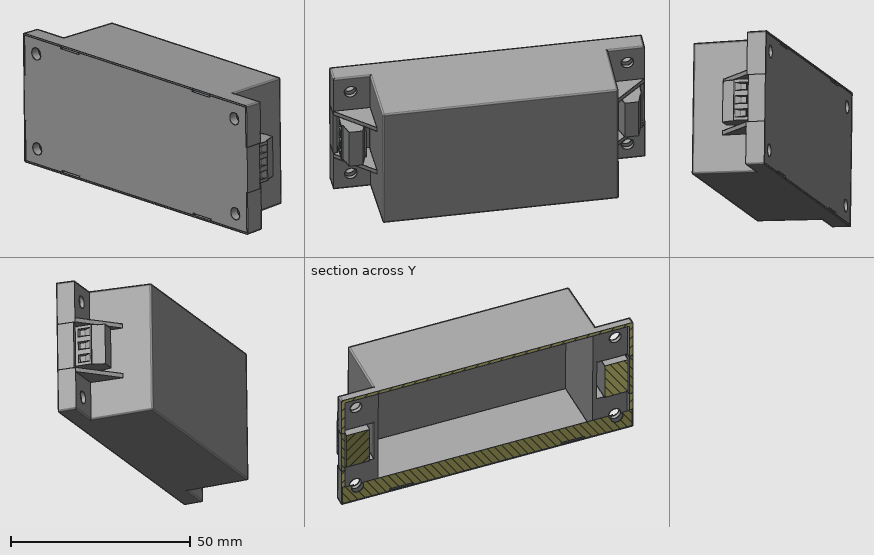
import cadquery as cq
import math

LEAN_ANGLE = 0.8
DRAFT_ANGLE = 1.0
DRAFT = math.tan(math.radians(DRAFT_ANGLE))

LENGTH = 88.4
HEIGHT = 38.1
DEPTH = 24.05
FLANGE_DEPTH = 5.4
BOX_HALF_LENGTH = 33.8
WALL = 1.2
EDGE_RADIUS = 0.4
LIP = 0.49

PLATE_THICKNESS = 2.65
TAB_WIDTH = 13.4
TAB_HEIGHT = 4.95
TAB_THICKNESS = 1.2
NOTCH_SPACING = 51.9
NOTCH_WIDTH = 7.0
NOTCH_DEPTH = 0.5

HOLE_DIAMETER = 3.5
HOLE_SPACING_X = 78.4
HOLE_SPACING_Z = 28.1

GUSSET_THICKNESS = 1.2
GUSSET_TOP = 15.2

TERMINAL_WIDTH = 11.7
TERMINAL_TOP = 13.2
TERMINAL_SHOULDER = 9.55
TERMINAL_FACE = 42.6
TERMINAL_LENGTH = 7.1
SHOULDER_STEP = 0.4
TOP_SETBACK = 1.6
POLE_COUNT = 3
POLE_PITCH = 3.8
WINDOW_WIDTH = 2.3
WINDOW_BOTTOM = 5.7
WINDOW_TOP = 9.1
WINDOW_DEPTH = 0.4
FLOOR_WIDTH = 1.8
FLOOR_BOTTOM = 6.0
FLOOR_TOP = 7.6

BOX_FOOT = BOX_HALF_LENGTH - FLANGE_DEPTH * DRAFT
FLANGE_TIP = LENGTH / 2 - FLANGE_DEPTH * DRAFT

ENDS = (-1, 1)
SIDES = (-1, 1)


def block(x_range, y_range, z_range):
    """Box between two limits on each axis."""
    size = [high - low for low, high in (x_range, y_range, z_range)]
    return cq.Workplane("XY").box(*size, centered=False).translate((x_range[0], y_range[0], z_range[0]))


def end_block(end, inner, outer, y_range, width):
    """Box at one end, between two distances from the middle and centred on Z = 0."""
    x_range = sorted((end * inner, end * outer))
    return block(x_range, y_range, (-width / 2, width / 2))


def extrude_along_z(points, width):
    """Prism with an outline in X and Y, centred on Z = 0."""
    return cq.Workplane("XY").polyline(points).close().extrude(width / 2, both=True)


def drafted_shape(inset):
    """T-shaped drafted block, with every side but the mouth moved inwards by the inset."""
    depth = DEPTH - inset
    flange_depth = FLANGE_DEPTH - inset
    flange = LENGTH / 2 - inset
    box = BOX_HALF_LENGTH - inset
    right_side = [
        (flange, 0),
        (flange - flange_depth * DRAFT, flange_depth),
        (box - flange_depth * DRAFT, flange_depth),
        (box - depth * DRAFT, depth),
    ]
    left_side = [(-x, y) for x, y in reversed(right_side)]
    tee = extrude_along_z(right_side + left_side, HEIGHT)

    half_height = HEIGHT / 2 - inset
    back_half_height = half_height - depth * DRAFT
    side_outline = [(0, -half_height), (depth, -back_half_height), (depth, back_half_height), (0, half_height)]
    wedge = cq.Workplane("YZ").polyline(side_outline).close().extrude(LENGTH / 2, both=True)
    return tee.intersect(wedge)


def hole_pins():
    """Cylinders that cut the four mounting holes."""
    return (
        cq.Workplane("XZ")
        .rarray(HOLE_SPACING_X, HOLE_SPACING_Z, 2, 2)
        .circle(HOLE_DIAMETER / 2)
        .extrude(-FLANGE_DEPTH)
    )


def gusset(end, side):
    """Triangular rib between the back of a flange and the end wall of the box."""
    root = BOX_FOOT - WALL / 2
    wall_at_top = BOX_HALF_LENGTH - GUSSET_TOP * DRAFT
    outline = [
        (end * root, FLANGE_DEPTH - WALL / 2),
        (end * FLANGE_TIP, FLANGE_DEPTH - WALL / 2),
        (end * FLANGE_TIP, FLANGE_DEPTH),
        (end * wall_at_top, GUSSET_TOP),
        (end * root, GUSSET_TOP),
    ]
    centre_z = side * (TAB_WIDTH + GUSSET_THICKNESS) / 2
    return extrude_along_z(outline, GUSSET_THICKNESS).translate((0, 0, centre_z))


def plate_blank():
    """Flat rectangle that fills the mouth inside the lip of the housing."""
    half_length = LENGTH / 2 - LIP
    half_height = HEIGHT / 2 - LIP
    return block((-half_length, half_length), (0, PLATE_THICKNESS), (-half_height, half_height))


def make_housing():
    """Hollow shell with gussets, a terminal opening at each end and four mounting holes."""
    outside = drafted_shape(0)
    outer_edges = outside.faces(">Y or >Z or <Z").edges("not <Y")
    housing = outer_edges.fillet(EDGE_RADIUS).cut(drafted_shape(WALL))
    housing = housing.cut(plate_blank())
    for end in ENDS:
        for side in SIDES:
            housing = housing.union(gusset(end, side))
        opening = end_block(end, BOX_FOOT, LENGTH / 2, (0, FLANGE_DEPTH), TAB_WIDTH)
        housing = housing.cut(opening)
    return housing.cut(hole_pins())


def make_plate():
    """Cover plate with a raised tab at each end and notches in its long edges."""
    plate = plate_blank()
    for end in ENDS:
        tab = end_block(end, LENGTH / 2 - TAB_THICKNESS, LENGTH / 2, (0, TAB_HEIGHT), TAB_WIDTH)
        plate = plate.union(tab)
    plate = plate.intersect(drafted_shape(0)).cut(hole_pins())

    notches = (
        cq.Workplane("XZ")
        .rarray(NOTCH_SPACING, HEIGHT - 2 * LIP, 2, 2)
        .rect(NOTCH_WIDTH, 2 * NOTCH_DEPTH)
        .extrude(-PLATE_THICKNESS)
    )
    return plate.cut(notches)


def wire_window(end):
    """Funnel that narrows from the terminal face to a smaller floor near its lower edge."""
    floor_shift = (FLOOR_BOTTOM + FLOOR_TOP - WINDOW_BOTTOM - WINDOW_TOP) / 2
    return (
        cq.Workplane("YZ", origin=(end * TERMINAL_FACE, (WINDOW_BOTTOM + WINDOW_TOP) / 2, 0))
        .rect(WINDOW_TOP - WINDOW_BOTTOM, WINDOW_WIDTH)
        .workplane(offset=-end * WINDOW_DEPTH)
        .center(floor_shift, 0)
        .rect(FLOOR_TOP - FLOOR_BOTTOM, FLOOR_WIDTH)
        .loft(ruled=True)
    )


def make_terminal(end):
    """Terminal block standing on the plate, with one wire window per pole."""
    front = TERMINAL_FACE
    back = TERMINAL_FACE - TERMINAL_LENGTH
    outline = [
        (front, PLATE_THICKNESS),
        (front, TERMINAL_SHOULDER),
        (front - SHOULDER_STEP, TERMINAL_SHOULDER),
        (front - TOP_SETBACK, TERMINAL_TOP),
        (back + TOP_SETBACK, TERMINAL_TOP),
        (back + SHOULDER_STEP, TERMINAL_SHOULDER),
        (back, TERMINAL_SHOULDER),
        (back, PLATE_THICKNESS),
    ]
    terminal = extrude_along_z([(end * x, y) for x, y in outline], TERMINAL_WIDTH)

    window = wire_window(end)
    for pole in range(POLE_COUNT):
        centre_z = (pole - (POLE_COUNT - 1) / 2) * POLE_PITCH
        terminal = terminal.cut(window.translate((0, 0, centre_z)))
    return terminal


def lean(body):
    """Turn a body about the X axis by the lean of the whole assembly."""
    return body.rotate((0, 0, 0), (1, 0, 0), LEAN_ANGLE)


housing = lean(make_housing())
plate = lean(make_plate())
terminals = [lean(make_terminal(end)) for end in ENDS]

result = cq.Compound.makeCompound(
    [housing.val(), plate.val(), *[terminal.val() for terminal in terminals]]
)